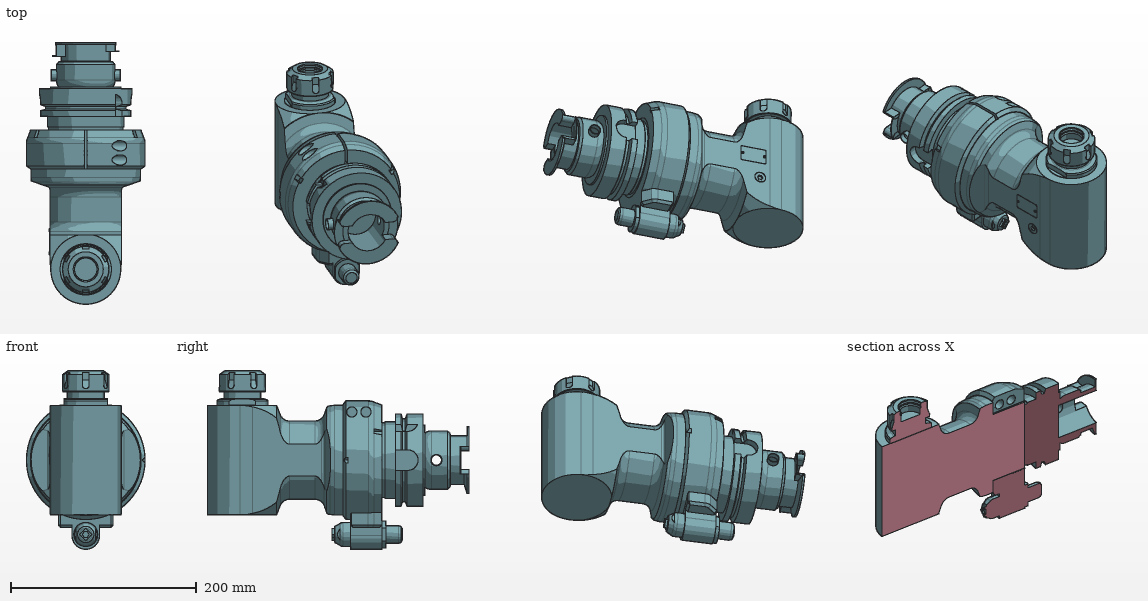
import cadquery as cq
import math


CLEAR = 141.0

RING_FRONT = 150.2
RING_BACK = 108.2
ARM_BACK = 116.5

HEAD_RADIUS = 37.8
HEAD_HALF_HEIGHT = 59.0
SIDE_FLAT_X = 38.5
FLAT_END_Y = 10.7
NECK_RADIUS = 42.3
NECK_START_Y = 50.7
NECK_END_Y = 78.0
FLARE_RADIUS = 10.7
FLARE_ANGLE = math.radians(66)
FLARE_RISE = FLARE_RADIUS * (1 - math.cos(FLARE_ANGLE))
FLARE_RUN = FLARE_RADIUS * math.sin(FLARE_ANGLE)
FLARE_MID_RISE = FLARE_RADIUS * (1 - math.cos(FLARE_ANGLE / 2))
FLARE_MID_RUN = FLARE_RADIUS * math.sin(FLARE_ANGLE / 2)
COLLAR_RADIUS = 59.2
COLLAR_EDGE_Y = 99.0
COLLAR_CONE_Y = 90.8
COLLAR_CONE_RADIUS = 57.0
HEAD_FLARE_TOP_Y = 37.0
JOURNAL_RADIUS = 43.7
PLATE_Y = 29.5
PLATE_Z = 5.0
PLATE_LENGTH = 28.7
PLATE_HEIGHT = 18.0
PLATE_PROUD = 0.3
RIVET_SPACING = 24.8
RIVET_RADIUS = 1.27
RIVET_PROUD = 0.8

RING_RADIUS = 64.0
RING_FACE_RADIUS = 59.5
ARM_HALF_WIDTH = 29.5
ARM_FRONT_HALF_WIDTH = 19.5
ARM_BACK_HALF_WIDTH = 27.3
ARM_BOTTOM_Z = -72.7
ARM_CHAMFER = 2.8
ARM_CORNER_DEPTH = 1.0
BOSS_RADIUS = 15.0
BOSS_BOTTOM_Z = -96.0
PIN_Z = -80.0
PIN_NOSE_RADIUS = 9.5
PIN_NOSE_END_Y = 172.2
PIN_SHOULDER_RADIUS = 14.7
PIN_SHOULDER_Y = 154.5
PIN_CAP_RADIUS = 13.0
PIN_CAP_END_Y = 99.0
PIN_END_Y = 96.5
CLAMP_SLIT_WIDTH = 2.8
CLAMP_SCREW_Z = 52.0
CLAMP_SCREW_RADIUS = 5.5
NOTCH_WIDTH = 5.5
NOTCH_FLOOR = 57.0
NOTCH_END_Y = 141.8

TAIL_Y = 244.0
TAIL_RADIUS = 26.5
TAIL_BORE_RADIUS = 20.9
TAIL_BORE_END_Y = 194.5
SHOULDER_RADIUS = 31.5
GROOVE_RADIUS = 44.8
FLANGE_BACK_Y = 194.5
LIP_RADIUS = 36.0
LIP_THICKNESS = 2.3
DRIVE_SLOT_HALF_WIDTH = 10.0
DRIVE_SLOT_ROUNDING = 5.0
SLOT_FLOOR_LIP = 0.8
CROSS_TUBE_HALF_LENGTH = 37.2
CROSS_TUBE_RADIUS = 6.05
CROSS_HOLE_RADIUS = 5.5
KEYWAY_HALF_WIDTH = 11.0
OFFSET_KEYWAY_FLOOR_X = 31.9
OFFSET_KEYWAY_Z = 42.0
KEYWAY_END_CENTRE_Y = 178.0
FLANGE_RADIUS = 50.0
FLANGE_FRONT_Y = 164.5
SHANK_NECK_RADIUS = 41.5
CROSS_HOLE_Y = 208.9

NUT_TOP_Z = 96.5
NUT_RADIUS = 25.0
NUT_SLOT_COUNT = 6
NUT_BOTTOM_Z = 73.5
NUT_MOUTH_RADIUS = 13.5
NUT_BORE_RADIUS = 12.0
NUT_BORE_FLOOR_Z = 81.7
SPINDLE_COLLAR_RADIUS = 27.5
SPINDLE_COLLAR_TOP_Z = 66.5
SPINDLE_NECK_RADIUS = 20.0
WRENCH_FLAT_X = 23.7


def turned_about_y(profile):
    """Revolve a closed (radius, y) sketch drawn in the XY plane about the Y axis."""
    return profile.close().revolve(360, (0, 0, 0), (0, 1, 0))


def y_cylinder(radius, y_start, y_end, x=0.0, z=0.0):
    """Round bar parallel to Y."""
    return (
        cq.Workplane("XZ", origin=(x, y_start, z))
        .circle(radius)
        .extrude(-(y_end - y_start))
    )


def x_cylinder(radius, x_start, x_end, y=0.0, z=0.0):
    """Round bar parallel to X."""
    return cq.Workplane("YZ", origin=(x_start, y, z)).circle(radius).extrude(x_end - x_start)


def block(x_range, y_range, z_range):
    """Rectangular block between two limits on each axis."""
    size = [high - low for low, high in (x_range, y_range, z_range)]
    corner = (x_range[0], y_range[0], z_range[0])
    return cq.Workplane("XY").box(*size, centered=False).translate(corner)


def both_sides(body):
    """The body together with its mirror image across the YZ plane."""
    return body.union(body.mirror("YZ"))




def housing_head():
    """Upright round head with two side flats, its inner corners rounded by a sphere."""
    flat_corner = math.hypot(SIDE_FLAT_X, FLAT_END_Y)
    tangent_angle = math.atan2(FLAT_END_Y, SIDE_FLAT_X) - math.acos(HEAD_RADIUS / flat_corner)
    tangent_x = HEAD_RADIUS * math.cos(tangent_angle)
    tangent_y = HEAD_RADIUS * math.sin(tangent_angle)
    sphere_radius = math.hypot(HEAD_RADIUS, HEAD_HALF_HEIGHT)
    plan = (
        cq.Workplane("XY", origin=(0, 0, -HEAD_HALF_HEIGHT))
        .moveTo(SIDE_FLAT_X, NECK_START_Y)
        .lineTo(SIDE_FLAT_X, FLAT_END_Y)
        .lineTo(tangent_x, tangent_y)
        .threePointArc((0, -HEAD_RADIUS), (-tangent_x, tangent_y))
        .lineTo(-SIDE_FLAT_X, FLAT_END_Y)
        .lineTo(-SIDE_FLAT_X, NECK_START_Y)
        .close()
        .extrude(2 * HEAD_HALF_HEIGHT)
    )
    behind_flare = block((-CLEAR, CLEAR), (-CLEAR, HEAD_FLARE_TOP_Y), (-CLEAR, CLEAR))
    return plan.intersect(cq.Workplane("XY").sphere(sphere_radius)).intersect(behind_flare)


def housing_turned_part():
    """Collar, neck and the flares that join the neck to the collar and to the head."""
    return turned_about_y(
        cq.Workplane("XY")
        .moveTo(0, FLAT_END_Y)
        .lineTo(HEAD_RADIUS, FLAT_END_Y)
        .lineTo(HEAD_HALF_HEIGHT, HEAD_FLARE_TOP_Y)
        .lineTo(NECK_RADIUS + FLARE_RISE, NECK_START_Y - FLARE_RUN)
        .threePointArc(
            (NECK_RADIUS + FLARE_MID_RISE, NECK_START_Y - FLARE_MID_RUN),
            (NECK_RADIUS, NECK_START_Y),
        )
        .lineTo(NECK_RADIUS, NECK_END_Y)
        .threePointArc(
            (NECK_RADIUS + FLARE_MID_RISE, NECK_END_Y + FLARE_MID_RUN),
            (NECK_RADIUS + FLARE_RISE, NECK_END_Y + FLARE_RUN),
        )
        .lineTo(COLLAR_CONE_RADIUS, COLLAR_CONE_Y)
        .threePointArc((58.0, 92.2), (58.5, 94.1))
        .lineTo(COLLAR_RADIUS, COLLAR_EDGE_Y)
        .lineTo(COLLAR_RADIUS, RING_BACK)
        .lineTo(JOURNAL_RADIUS, RING_BACK)
        .lineTo(JOURNAL_RADIUS, RING_FRONT)
        .lineTo(0, RING_FRONT)
    )


def side_relief():
    """Cut beside the neck: a flat that runs out through the collar along a slanted face."""
    return (
        cq.Workplane("XY", origin=(0, 0, -CLEAR))
        .moveTo(SIDE_FLAT_X, FLAT_END_Y)
        .lineTo(SIDE_FLAT_X, 85.5)
        .threePointArc((39.5, 88.0), (41.5, 89.0))
        .lineTo(COLLAR_RADIUS, 95.3)
        .lineTo(CLEAR, 95.3)
        .lineTo(CLEAR, FLAT_END_Y)
        .close()
        .extrude(2 * CLEAR)
    )


def name_plate():
    """Thin plate on the -X flat, held by two rivets."""
    plate = (
        cq.Workplane("YZ", origin=(-SIDE_FLAT_X - PLATE_PROUD, PLATE_Y, PLATE_Z))
        .rect(PLATE_LENGTH, PLATE_HEIGHT)
        .extrude(2 * PLATE_PROUD)
        .edges("|X")
        .fillet(1.7)
    )
    for offset in (-RIVET_SPACING / 2, RIVET_SPACING / 2):
        rivet = x_cylinder(
            RIVET_RADIUS,
            -SIDE_FLAT_X - RIVET_PROUD,
            -SIDE_FLAT_X,
            PLATE_Y + offset,
            PLATE_Z,
        )
        plate = plate.union(rivet)
    return plate


def screw_plug_recess():
    """Shallow round recess on the -X flat with a hexagon socket in it."""
    plug_y = 21.7
    plug_z = -22.0
    plug_radius = 6.05
    recess_depth = 0.5
    socket_depth = 2.8
    recess = x_cylinder(
        plug_radius, -SIDE_FLAT_X, -SIDE_FLAT_X + recess_depth, plug_y, plug_z
    )
    socket = (
        cq.Workplane("YZ", origin=(-SIDE_FLAT_X, plug_y, plug_z))
        .polygon(6, 6.0)
        .extrude(socket_depth)
    )
    return recess.union(socket)


def make_housing():
    """Head, neck and collar, with the journal that fills the clamp ring."""
    body = housing_turned_part().cut(both_sides(side_relief()))
    body = body.union(housing_head())
    return body.union(name_plate()).cut(screw_plug_recess())




def ring_body():
    """Turned ring with a slanted front edge and a bevelled rear edge."""
    return turned_about_y(
        cq.Workplane("XY")
        .moveTo(JOURNAL_RADIUS, RING_FRONT)
        .lineTo(RING_FACE_RADIUS, RING_FRONT)
        .lineTo(62.5, 141.8)
        .threePointArc((63.7, 138.7), (RING_RADIUS, 135.5))
        .lineTo(RING_RADIUS, 111.3)
        .lineTo(59.8, RING_BACK)
        .lineTo(JOURNAL_RADIUS, RING_BACK)
    )


def arm_block():
    """Block under the ring, narrower at the front, and the boss that carries the stop pin."""
    base = (
        cq.Workplane("XY", origin=(0, 0, ARM_BOTTOM_Z))
        .moveTo(ARM_BACK_HALF_WIDTH, ARM_BACK)
        .lineTo(ARM_HALF_WIDTH, ARM_BACK + ARM_CORNER_DEPTH)
        .lineTo(ARM_HALF_WIDTH, 135.3)
        .threePointArc((29.0, 139.0), (27.3, 141.8))
        .lineTo(ARM_FRONT_HALF_WIDTH, RING_FRONT)
        .lineTo(-ARM_FRONT_HALF_WIDTH, RING_FRONT)
        .lineTo(-27.3, 141.8)
        .threePointArc((-29.0, 139.0), (-ARM_HALF_WIDTH, 135.3))
        .lineTo(-ARM_HALF_WIDTH, ARM_BACK + ARM_CORNER_DEPTH)
        .lineTo(-ARM_BACK_HALF_WIDTH, ARM_BACK)
        .close()
        .extrude(-ARM_BOTTOM_Z - JOURNAL_RADIUS)
        .faces("<Z")
        .chamfer(ARM_CHAMFER)
    )
    boss_arc_z = BOSS_BOTTOM_Z + BOSS_RADIUS
    boss = block((-BOSS_RADIUS, BOSS_RADIUS), (ARM_BACK, RING_FRONT), (boss_arc_z, -RING_FACE_RADIUS))
    boss = boss.union(y_cylinder(BOSS_RADIUS, ARM_BACK, RING_FRONT, z=boss_arc_z))
    return base.union(boss).cut(y_cylinder(JOURNAL_RADIUS, 0, RING_FRONT))


def stop_pin():
    """Stop pin fixed in the boss: nose, flanged shoulder, rear cap and adjusting end."""
    profile = (
        cq.Workplane("XY")
        .moveTo(0, PIN_NOSE_END_Y)
        .lineTo(6.2, PIN_NOSE_END_Y)
        .lineTo(8.7, 170.8)
        .lineTo(PIN_NOSE_RADIUS, 168.0)
        .lineTo(PIN_NOSE_RADIUS, PIN_SHOULDER_Y)
        .lineTo(PIN_SHOULDER_RADIUS, PIN_SHOULDER_Y)
        .lineTo(PIN_SHOULDER_RADIUS, RING_FRONT)
        .lineTo(PIN_CAP_RADIUS, RING_FRONT)
        .lineTo(PIN_CAP_RADIUS, 108.5)
        .threePointArc((12.7, 106.5), (11.8, 104.9))
        .lineTo(8.7, 99.5)
        .lineTo(6.8, PIN_CAP_END_Y)
        .lineTo(0, PIN_CAP_END_Y)
    )
    pin = turned_about_y(profile).translate((0, 0, PIN_Z))
    z_range = (PIN_Z - PIN_SHOULDER_RADIUS, PIN_Z + PIN_SHOULDER_RADIUS)
    shoulder_flat = block((13.0, PIN_SHOULDER_RADIUS), (RING_FRONT, PIN_SHOULDER_Y), z_range)
    cap_flat = block((10.5, PIN_SHOULDER_RADIUS), (PIN_END_Y, 105.0), z_range)
    pin = pin.cut(both_sides(shoulder_flat)).cut(both_sides(cap_flat))
    end_face = cq.Workplane("XZ", origin=(0, PIN_END_Y, PIN_Z))
    square_end = end_face.polygon(4, 13.2).extrude(PIN_END_Y - PIN_CAP_END_Y - 0.5)
    hex_socket = end_face.polygon(6, 7.0).extrude(-2.3)
    return pin.union(square_end).cut(hex_socket)


def clamp_cuts():
    """Slit through the top of the ring and the two clamp screw holes that cross it."""
    cuts = block(
        (-CLAMP_SLIT_WIDTH / 2, CLAMP_SLIT_WIDTH / 2),
        (RING_BACK, RING_FRONT),
        (0, RING_RADIUS),
    )
    for screw_y in (133.0, 117.8):
        cuts = cuts.union(x_cylinder(CLAMP_SCREW_RADIUS, -17, RING_RADIUS, screw_y, CLAMP_SCREW_Z))
    return cuts


def spanner_notch(angle):
    """Notch across the slanted front edge of the ring at an angle about Y."""
    notch = block(
        (NOTCH_FLOOR, RING_RADIUS),
        (NOTCH_END_Y, RING_FRONT),
        (-NOTCH_WIDTH / 2, NOTCH_WIDTH / 2),
    )
    return notch.rotate((0, 0, 0), (0, 1, 0), -angle)


def index_mark():
    """V-shaped mark in the rear edge of the ring on the +X side."""
    return (
        cq.Workplane("XZ", origin=(0, RING_BACK, 0))
        .polyline([(61.0, 0), (66.5, 5.5), (66.5, -5.5)])
        .close()
        .extrude(-5.5)
    )


def make_clamp_ring():
    """Clamp ring with its torque arm and fixed stop pin, in one piece."""
    ring = ring_body().cut(clamp_cuts())
    for angle in (30, 150):
        ring = ring.cut(spanner_notch(angle))
    ring = ring.cut(index_mark())
    return ring.union(arm_block()).union(stop_pin())




def shank_turned_part():
    """Hollow tail, shoulder, gripper flange with its groove, and neck."""
    return turned_about_y(
        cq.Workplane("XY")
        .moveTo(0, RING_FRONT)
        .lineTo(40.3, RING_FRONT)
        .lineTo(40.3, 153.3)
        .lineTo(SHANK_NECK_RADIUS, 153.3)
        .lineTo(SHANK_NECK_RADIUS, FLANGE_FRONT_Y)
        .lineTo(FLANGE_RADIUS, FLANGE_FRONT_Y)
        .lineTo(FLANGE_RADIUS, 170.8)
        .lineTo(GROOVE_RADIUS, 172.5)
        .lineTo(GROOVE_RADIUS, 175.3)
        .lineTo(FLANGE_RADIUS, 177.3)
        .lineTo(FLANGE_RADIUS, FLANGE_BACK_Y)
        .lineTo(38.0, FLANGE_BACK_Y)
        .lineTo(38.0, 196.5)
        .lineTo(29.3, 196.5)
        .threePointArc((31.0, 199.5), (SHOULDER_RADIUS, 203.8))
        .lineTo(SHOULDER_RADIUS, 220.7)
        .lineTo(29.0, 223.5)
        .lineTo(TAIL_RADIUS, 224.0)
        .lineTo(TAIL_RADIUS, TAIL_Y)
        .lineTo(TAIL_BORE_RADIUS, TAIL_Y)
        .lineTo(TAIL_BORE_RADIUS, TAIL_BORE_END_Y)
        .lineTo(0, TAIL_BORE_END_Y)
    )


def tail_core():
    """Bar as wide as the bore, used to keep added walls out of the bore."""
    return y_cylinder(TAIL_BORE_RADIUS, TAIL_BORE_END_Y, TAIL_Y)


def tail_lip():
    """Thin lip round the tail, with a cone behind its lower half."""
    lip = y_cylinder(LIP_RADIUS, TAIL_Y - LIP_THICKNESS, TAIL_Y)
    cone = turned_about_y(
        cq.Workplane("XY")
        .moveTo(0, TAIL_Y - LIP_THICKNESS)
        .lineTo(LIP_RADIUS, TAIL_Y - LIP_THICKNESS)
        .lineTo(TAIL_RADIUS, 238.7)
        .lineTo(0, 238.7)
    )
    lower_half = block((-LIP_RADIUS, LIP_RADIUS), (0, TAIL_Y), (-LIP_RADIUS, 0))
    return lip.union(cone.intersect(lower_half)).cut(tail_core())


def drive_slot_wall(side, floor_y):
    """Wall that carries the lip round a drive slot; side is -1 or +1 along X."""
    half_width = DRIVE_SLOT_HALF_WIDTH + DRIVE_SLOT_ROUNDING
    wall = y_cylinder(LIP_RADIUS, floor_y - SLOT_FLOOR_LIP, TAIL_Y).cut(tail_core())
    x_range = (0, LIP_RADIUS) if side > 0 else (-LIP_RADIUS, 0)
    return wall.intersect(block(x_range, (0, TAIL_Y), (-half_width, half_width)))


def drive_slot_cut(side, floor_y):
    """Drive slot with a rounded mouth, open at the tail."""
    mouth = math.sqrt(LIP_RADIUS**2 - (DRIVE_SLOT_HALF_WIDTH + DRIVE_SLOT_ROUNDING) ** 2) - 0.8
    inner = mouth - DRIVE_SLOT_ROUNDING
    half = DRIVE_SLOT_HALF_WIDTH
    wide = half + DRIVE_SLOT_ROUNDING
    bulge = DRIVE_SLOT_ROUNDING * math.sqrt(0.5)
    slot = (
        cq.Workplane("XZ", origin=(0, floor_y, 0))
        .moveTo(0, half)
        .lineTo(inner, half)
        .threePointArc((inner + bulge, wide - bulge), (mouth, wide))
        .lineTo(CLEAR, wide)
        .lineTo(CLEAR, -wide)
        .lineTo(mouth, -wide)
        .threePointArc((inner + bulge, bulge - wide), (inner, -half))
        .lineTo(0, -half)
        .close()
        .extrude(floor_y - TAIL_Y - 2.8)
    )
    return slot if side > 0 else slot.mirror("YZ")


def cross_tubes():
    """Two short tubes that stand out from the shoulder of the shank along X."""
    outer = x_cylinder(
        CROSS_TUBE_RADIUS, -CROSS_TUBE_HALF_LENGTH, CROSS_TUBE_HALF_LENGTH, CROSS_HOLE_Y
    )
    return outer.cut(tail_core())


def flange_keyway(floor_x, centre_z):
    """Round-ended keyway milled into the flange along X, down to a flat floor."""
    key = block(
        (floor_x, FLANGE_RADIUS),
        (FLANGE_FRONT_Y, KEYWAY_END_CENTRE_Y),
        (centre_z - KEYWAY_HALF_WIDTH, centre_z + KEYWAY_HALF_WIDTH),
    )
    return key.union(
        x_cylinder(KEYWAY_HALF_WIDTH, floor_x, FLANGE_RADIUS, KEYWAY_END_CENTRE_Y, centre_z)
    )


def make_shank():
    """Hollow tool shank whose neck meets the front of the housing journal."""
    shank = shank_turned_part().union(tail_lip())
    drive_slots = ((-1, 230.0), (1, 235.4))
    for side, floor_y in drive_slots:
        shank = shank.union(drive_slot_wall(side, floor_y))
    for side, floor_y in drive_slots:
        shank = shank.cut(drive_slot_cut(side, floor_y))
    cross_hole = x_cylinder(
        CROSS_HOLE_RADIUS, -CROSS_TUBE_HALF_LENGTH, CROSS_TUBE_HALF_LENGTH, CROSS_HOLE_Y
    )
    shank = shank.union(cross_tubes()).cut(cross_hole)
    shank = shank.cut(both_sides(flange_keyway(SHANK_NECK_RADIUS, 0)))
    return shank.cut(flange_keyway(OFFSET_KEYWAY_FLOOR_X, OFFSET_KEYWAY_Z))




def nut_slot(angle):
    """Spanner slot in the side of the nut, open at the top and round at the bottom."""
    half_width = 3.7
    floor_radius = 22.0
    end_z = 80.5
    slope_top_z = 86.2
    slot = block((floor_radius, NUT_RADIUS), (-half_width, half_width), (end_z, NUT_TOP_Z))
    slot = slot.union(x_cylinder(half_width, floor_radius, NUT_RADIUS, 0, end_z))
    sloped_floor = (
        cq.Workplane("XZ", origin=(0, 2 * half_width, 0))
        .moveTo(floor_radius, slope_top_z)
        .lineTo(NUT_RADIUS, end_z - half_width)
        .lineTo(floor_radius, end_z - half_width)
        .close()
        .extrude(4 * half_width)
    )
    return slot.cut(sloped_floor).rotate((0, 0, 0), (0, 0, 1), angle)


def make_spindle():
    """Spindle collar and neck carrying the slotted collet nut."""
    profile = (
        cq.Workplane("XZ")
        .moveTo(0, HEAD_HALF_HEIGHT)
        .lineTo(SPINDLE_COLLAR_RADIUS, HEAD_HALF_HEIGHT)
        .lineTo(SPINDLE_COLLAR_RADIUS, 63.7)
        .lineTo(26.5, 65.0)
        .lineTo(22.0, SPINDLE_COLLAR_TOP_Z)
        .lineTo(SPINDLE_NECK_RADIUS, SPINDLE_COLLAR_TOP_Z)
        .lineTo(SPINDLE_NECK_RADIUS, NUT_BOTTOM_Z)
        .lineTo(24.5, NUT_BOTTOM_Z)
        .lineTo(NUT_RADIUS, 74.5)
        .lineTo(NUT_RADIUS, 92.2)
        .lineTo(19.0, NUT_TOP_Z)
        .lineTo(NUT_MOUTH_RADIUS, NUT_TOP_Z)
        .lineTo(NUT_MOUTH_RADIUS, 94.7)
        .lineTo(NUT_BORE_RADIUS, 93.5)
        .lineTo(NUT_MOUTH_RADIUS, 92.2)
        .lineTo(NUT_MOUTH_RADIUS, 90.5)
        .lineTo(NUT_BORE_RADIUS, 89.3)
        .lineTo(NUT_BORE_RADIUS, NUT_BORE_FLOOR_Z)
        .lineTo(0, NUT_BORE_FLOOR_Z)
        .close()
    )
    spindle = profile.revolve(360, (0, 0, 0), (0, 1, 0))
    wrench_flat = block(
        (WRENCH_FLAT_X, SPINDLE_COLLAR_RADIUS),
        (-SPINDLE_COLLAR_RADIUS, SPINDLE_COLLAR_RADIUS),
        (HEAD_HALF_HEIGHT + 0.5, SPINDLE_COLLAR_TOP_Z),
    )
    spindle = spindle.cut(both_sides(wrench_flat))
    for index in range(NUT_SLOT_COUNT):
        spindle = spindle.cut(nut_slot(90 + index * 360 / NUT_SLOT_COUNT))
    return spindle


housing = make_housing()
clamp_ring = make_clamp_ring()
shank = make_shank()
spindle = make_spindle()

result = cq.Compound.makeCompound(
    [
        housing.solids().val(),
        clamp_ring.solids().val(),
        shank.solids().val(),
        spindle.solids().val(),
    ]
)